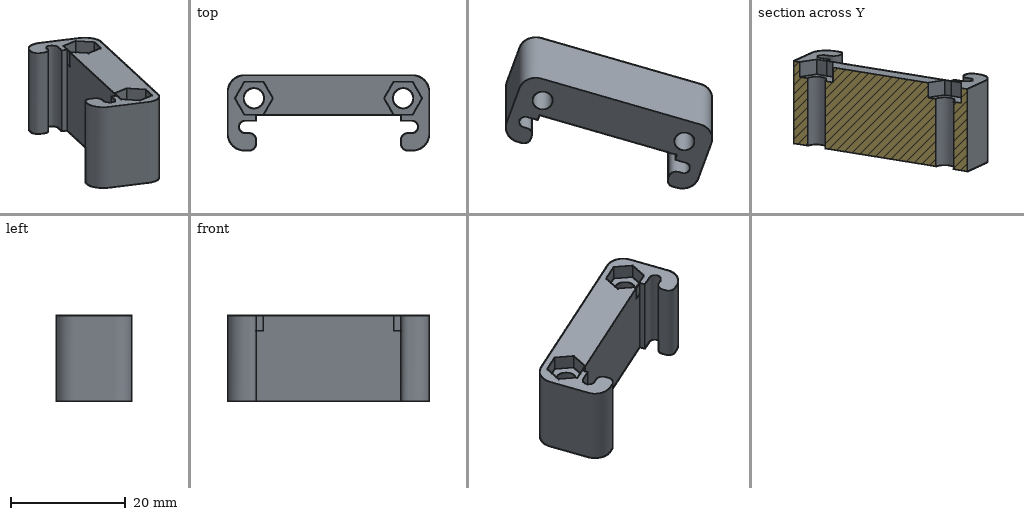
import cadquery as cq
import math

length = 35.2
depth = 13.2
height = 15.0
corner_radius = 3.0

plate_thickness = 7.0
hook_reach = 5.0
hook_thickness = 3.1
hook_tip_radius = 1.25

slot_width = 2.1
slot_bottom_wall = 2.0

hole_diameter = 3.5
hole_spacing = 26.0
hole_from_back = 4.05
nut_across_flats = 5.75
nut_pocket_depth = 2.7

back_y = depth / 2
front_y = -depth / 2
plate_front_y = back_y - plate_thickness
hook_inner_y = front_y + hook_thickness
slot_center_y = hook_inner_y + slot_width / 2
opening_width = length - 2 * hook_reach


def block():
    """Full-size block with rounded vertical corners."""
    return (
        cq.Workplane("XY")
        .box(length, depth, height, centered=(True, True, False))
        .edges("|Z")
        .fillet(corner_radius)
    )


def opening():
    """Rectangular space between the two hooks, in front of the plate."""
    return (
        cq.Workplane("XY")
        .center(0, (plate_front_y + front_y) / 2)
        .rect(opening_width, plate_front_y - front_y)
        .extrude(height)
    )


def round_hook_tips(body):
    """Round both vertical edges at the tip of each hook."""
    for side in (-1, 1):
        tip_x = side * opening_width / 2
        for tip_y in (front_y, hook_inner_y):
            edge = cq.selectors.NearestToPointSelector((tip_x, tip_y, height / 2))
            body = body.edges("|Z").edges(edge).fillet(hook_tip_radius)
    return body


def slots():
    """Both round-ended slots, cut as one long slot across the opening."""
    return (
        cq.Workplane("XY")
        .center(0, slot_center_y)
        .slot2D(length - 2 * slot_bottom_wall, slot_width)
        .extrude(height)
    )


def screw_holes():
    """Through holes with hexagonal nut pockets, corners pointing along X."""
    hole_y = back_y - hole_from_back
    centers = [(-hole_spacing / 2, hole_y), (hole_spacing / 2, hole_y)]
    nut_across_corners = nut_across_flats / math.cos(math.pi / 6)
    holes = cq.Workplane("XY").pushPoints(centers).circle(hole_diameter / 2).extrude(height)
    pockets = (
        cq.Workplane("XY")
        .workplane(offset=height - nut_pocket_depth)
        .pushPoints(centers)
        .polygon(6, nut_across_corners)
        .extrude(nut_pocket_depth)
    )
    return holes.union(pockets)


clip = round_hook_tips(block().cut(opening()).cut(slots()))
result = clip.cut(screw_holes())